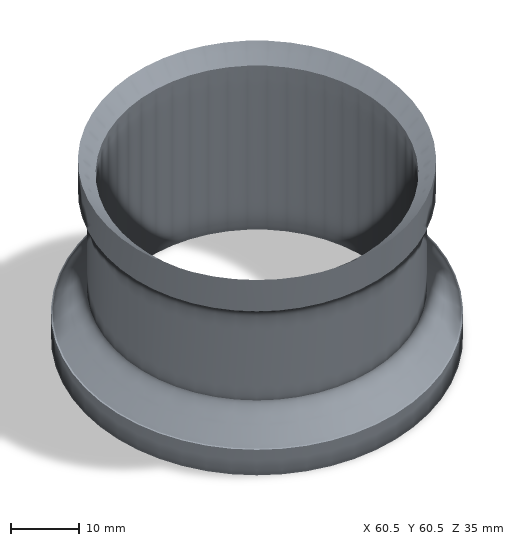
import cadquery as cq

total_height = 35.0
flange_radius = 60.55 / 2
neck_radius = 50.0 / 2
collar_radius = 52.6 / 2
bore_radius = 47.4 / 2

flange_height = 5.0
cone_height = 5.0
collar_height = 6.2

cone_base_radius = neck_radius + cone_height
cone_top_z = flange_height + cone_height
collar_bottom_z = total_height - collar_height
neck_top_z = collar_bottom_z - (collar_radius - neck_radius)
mouth_bottom_z = total_height - (collar_radius - bore_radius)

half_section = [
    (bore_radius, 0),
    (flange_radius, 0),
    (flange_radius, flange_height),
    (cone_base_radius, flange_height),
    (neck_radius, cone_top_z),
    (neck_radius, neck_top_z),
    (collar_radius, collar_bottom_z),
    (collar_radius, total_height),
    (bore_radius, mouth_bottom_z),
]

result = cq.Workplane("XZ").polyline(half_section).close().revolve(360, (0, 0, 0), (0, 1, 0))